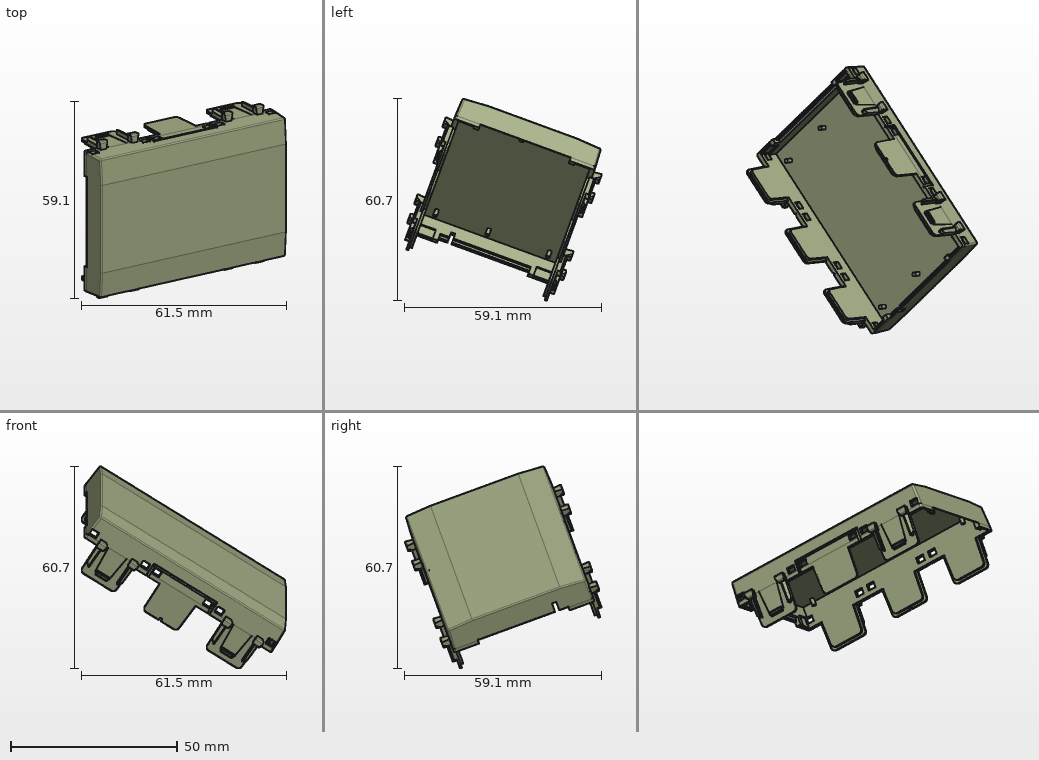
import cadquery as cq
import math


TILT_ABOUT_Y = 33.25
TILT_ABOUT_X = 20.1

LENGTH = 67.3
WIDTH = 44.95
WALL = 1.5
DRAFT = 2.7
SKIRT_TOP = -6.9
SKIRT_BOTTOM = -8.2
CEILING = -1.25
ROOF_FLAT_WIDTH = 28.1
ROOF_RISE = 0.7
CORNER_RADIUS = 0.6
ROOF_EDGE_RADIUS = 0.45

TAB_LENGTH = 8.0
TAB_POCKET_LENGTH = 6.35
TAB_POCKET_TOP = -4.8
TAB_POCKET_DEPTH = 0.55
REBATE_TOP = -5.6
REBATE_DEPTH = 0.85
TOE_BEVEL = 0.4
NOTCH_WIDTH = 1.3
NOTCH_Y = 10.9
NOTCH_TOP = -3.75

PEG_DIAMETER = 1.25
PEG_LENGTH = 2.15
PEG_X = 27.4
PEG_YS = (-18.2, 1.2, 17.85)

WINDOW_WIDTH = 2.45
WINDOW_HEIGHT = 1.9
WINDOW_TOP = -4.7
WINDOW_XS = (9.08, 13.395, 31.745)
GROOVE_LENGTH = 22.7
GROOVE_TOP = -3.8
GROOVE_DEPTH = 0.55
GROOVE_WIDTH = 0.8

CLIP_X = 22.5
LEG_TOP_WIDTH = 12.95
LEG_BOTTOM_WIDTH = 12.3
LEG_BOTTOM = -18.05
LEG_THICKNESS = 0.7
LEG_BACKING_THICKNESS = 0.8
LEG_BACKING_INSET = 0.75
LEG_RADIUS = 1.25
LEG_NOTCH_WIDTH = 0.75
LEG_NOTCH_HEIGHT = 0.8

RAMP_TOP_WIDTH = 6.5
RAMP_BOTTOM_WIDTH = 4.9
RAMP_BOTTOM = -15.4
RAMP_RISE = 0.2
STOP_WIDTH = 4.05
STOP_TOP = -14.7
STOP_BOTTOM = -16.15
STOP_BEVEL = 0.4
STOP_RISE = 0.8
RIB_INNER = 5.0
RIB_OUTER = 6.5
RIB_TIP_THICKNESS = 0.3
RIB_RISE = 1.35
RIB_OUTER_RISE = 0.7
RIB_BOTTOM = -14.95
HEAD_X = 5.6
HEAD_INNER_WIDTH = 2.0
HEAD_OUTER_WIDTH = 2.85
HEAD_REACH = 2.5
HEAD_TOP = -6.0
HEAD_BOTTOM = -8.2
HEAD_RADIUS = 0.45
HEAD_BOTTOM_WIDTH = 2.2

FACE_Y = WIDTH / 2
OVERCUT = 0.6
INNER_LENGTH = LENGTH - 2 * WALL
INNER_WIDTH = WIDTH - 2 * WALL


def block(x_range, y_range, z_range):
    """Box between the given limits."""
    lows = [r[0] for r in (x_range, y_range, z_range)]
    sizes = [r[1] - r[0] for r in (x_range, y_range, z_range)]
    return cq.Workplane("XY").box(*sizes, centered=False).translate(tuple(lows))


def front_prism(points, outer_y, inner_y):
    """Outline in X and Z, extruded between two depths of the front side."""
    plane = cq.Workplane("XZ", origin=(0, inner_y, 0))
    return plane.polyline(points).close().extrude(inner_y - outer_y)


def trapezoid(x, top_width, bottom_width, top, bottom):
    """Corners of a symmetric trapezoid in X and Z."""
    return [
        (x - top_width / 2, top),
        (x + top_width / 2, top),
        (x + bottom_width / 2, bottom),
        (x - bottom_width / 2, bottom),
    ]


def make_shell():
    """Drafted outer body with a three-facet roof, hollowed from below."""
    draft_height = ROOF_RISE - SKIRT_TOP
    drafted = cq.Workplane("XY", origin=(0, 0, SKIRT_TOP)).rect(LENGTH, WIDTH)
    drafted = drafted.extrude(draft_height, taper=DRAFT)
    ridge_y = ROOF_FLAT_WIDTH / 2
    roof = (
        cq.Workplane("YZ", origin=(-LENGTH / 2, 0, 0))
        .moveTo(-FACE_Y, SKIRT_TOP)
        .lineTo(-FACE_Y, 0)
        .lineTo(-ridge_y, ROOF_RISE)
        .lineTo(ridge_y, ROOF_RISE)
        .lineTo(FACE_Y, 0)
        .lineTo(FACE_Y, SKIRT_TOP)
        .close()
        .extrude(LENGTH)
    )
    body = drafted.intersect(roof)
    corners = cq.selectors.BoxSelector((-LENGTH, -WIDTH, SKIRT_TOP + 0.6), (LENGTH, WIDTH, -0.6))
    body = body.edges(corners).fillet(CORNER_RADIUS)
    top_edges = cq.selectors.BoxSelector((-LENGTH, -WIDTH, -0.6), (LENGTH, WIDTH, ROOF_RISE + 0.6))
    ridges = cq.selectors.BoxSelector((-0.6, -ridge_y - 0.6, 0), (0.6, ridge_y + 0.6, ROOF_RISE + 0.6))
    body = body.edges(top_edges - ridges).fillet(ROOF_EDGE_RADIUS)
    skirt = cq.Workplane("XY", origin=(0, 0, SKIRT_BOTTOM)).rect(LENGTH, WIDTH)
    skirt = skirt.extrude(SKIRT_TOP - SKIRT_BOTTOM).edges("|Z").fillet(CORNER_RADIUS)
    cavity = block(
        (-INNER_LENGTH / 2, INNER_LENGTH / 2),
        (-INNER_WIDTH / 2, INNER_WIDTH / 2),
        (SKIRT_BOTTOM, CEILING),
    )
    return body.union(skirt).cut(cavity)


def cut_end_wall(body, side):
    """Trim one end wall (side -1 or 1) to corner tabs and thin its lower inner face."""
    outer_x = LENGTH / 2
    inner_x = INNER_LENGTH / 2
    tab_y = FACE_Y - TAB_LENGTH

    def wall_prism(points, y_range):
        plane = cq.Workplane("XZ", origin=(0, y_range[1], 0))
        outline = [(side * x, z) for x, z in points]
        return plane.polyline(outline).close().extrude(y_range[1] - y_range[0])

    def recess(depth, top, bottom, y_range):
        face_x = inner_x + depth
        return wall_prism(
            [
                (inner_x - OVERCUT, top),
                (face_x, top),
                (face_x, bottom + TOE_BEVEL),
                (face_x + TOE_BEVEL, bottom),
                (inner_x - OVERCUT, bottom),
            ],
            y_range,
        )

    x_range = sorted((side * (inner_x - OVERCUT), side * (outer_x + OVERCUT)))
    body = body.cut(block(x_range, (-tab_y, tab_y), (SKIRT_BOTTOM, SKIRT_TOP)))
    body = body.cut(recess(REBATE_DEPTH, REBATE_TOP, SKIRT_TOP, (-tab_y, tab_y)))
    pocket_range = (-INNER_WIDTH / 2, TAB_POCKET_LENGTH - FACE_Y)
    pocket = recess(TAB_POCKET_DEPTH, TAB_POCKET_TOP, SKIRT_BOTTOM, pocket_range)
    return body.cut(pocket).cut(pocket.mirror("XZ"))


def cut_long_wall(body):
    """Windows and the groove that frames the centre pad, in the front long wall."""
    wall_inner = -INNER_WIDTH / 2
    groove_floor = GROOVE_DEPTH - FACE_Y
    groove = block(
        (-GROOVE_LENGTH / 2, GROOVE_LENGTH / 2), (-FACE_Y, groove_floor), (SKIRT_BOTTOM, GROOVE_TOP)
    )
    pad_height = 2 * (GROOVE_TOP - SKIRT_BOTTOM)
    pad = (
        cq.Workplane("XZ", origin=(0, groove_floor, 0))
        .center(0, GROOVE_TOP - pad_height / 2)
        .rect(GROOVE_LENGTH, pad_height)
        .extrude(GROOVE_DEPTH, taper=math.degrees(math.atan2(GROOVE_WIDTH, GROOVE_DEPTH)))
    )
    body = body.cut(groove.cut(pad))
    for x in WINDOW_XS:
        for side in (-1, 1):
            left = side * x - WINDOW_WIDTH / 2
            window = block(
                (left, left + WINDOW_WIDTH),
                (-FACE_Y, wall_inner),
                (WINDOW_TOP - WINDOW_HEIGHT, WINDOW_TOP),
            )
            body = body.cut(window)
    return body


def leg_outline(x, inset):
    """Corners of a tapered leg, moved inwards by the inset."""
    return trapezoid(
        x,
        LEG_TOP_WIDTH - 2 * inset,
        LEG_BOTTOM_WIDTH - 2 * inset,
        SKIRT_BOTTOM,
        LEG_BOTTOM + inset,
    )


def leg_layer(x, inset, outer_y, inner_y):
    """Flat tapered plate with rounded lower corners."""
    layer = front_prism(leg_outline(x, inset), outer_y, inner_y)
    return layer.faces("<Z").edges("|Y").fillet(LEG_RADIUS)


def make_leg(x):
    """Thin flat leg stiffened by a smaller plate on its inner face."""
    middle_y = LEG_THICKNESS - FACE_Y
    leg = leg_layer(x, 0, -FACE_Y, middle_y)
    return leg.union(leg_layer(x, LEG_BACKING_INSET, middle_y, middle_y + LEG_BACKING_THICKNESS))


def make_ramp(x):
    """Shallow wedge on the leg, rising downwards."""
    outline = trapezoid(x, RAMP_TOP_WIDTH, RAMP_BOTTOM_WIDTH, SKIRT_TOP, RAMP_BOTTOM)
    plate = front_prism(outline, -FACE_Y - RAMP_RISE, -FACE_Y)
    wedge = (
        cq.Workplane("YZ", origin=(x - RAMP_TOP_WIDTH / 2, 0, 0))
        .moveTo(-FACE_Y, SKIRT_TOP)
        .lineTo(-FACE_Y - RAMP_RISE, RAMP_BOTTOM)
        .lineTo(-FACE_Y, RAMP_BOTTOM)
        .close()
        .extrude(RAMP_TOP_WIDTH)
    )
    return plate.intersect(wedge)


def make_rib(x, side):
    """Rib along one edge (side -1 or 1) of a clip leg, highest towards the middle of the leg."""
    tip_outer = RIB_INNER + RIB_TIP_THICKNESS
    profile = [
        (RIB_INNER, 0),
        (RIB_INNER, RIB_RISE),
        (tip_outer, RIB_RISE),
        (RIB_OUTER, RIB_OUTER_RISE),
        (RIB_OUTER, 0),
    ]
    points = [(x + side * offset, -FACE_Y - rise) for offset, rise in profile]
    rib = cq.Workplane("XY", origin=(0, 0, RIB_BOTTOM)).polyline(points).close()
    rib = rib.extrude(HEAD_BOTTOM - RIB_BOTTOM)
    end_cut = [
        (x + side * tip_outer, RIB_BOTTOM),
        (x + side * RIB_OUTER, RIB_BOTTOM),
        (x + side * RIB_OUTER, RIB_BOTTOM + RIB_OUTER - tip_outer),
    ]
    rib = rib.cut(front_prism(end_cut, -FACE_Y - RIB_RISE, -FACE_Y))
    return rib.intersect(front_prism(leg_outline(x, 0), -FACE_Y - RIB_RISE, -FACE_Y))


def make_head(x):
    """Hook head that widens outwards, narrows downwards and has a rounded outer end."""
    height = HEAD_TOP - HEAD_BOTTOM
    mid_z = (HEAD_TOP + HEAD_BOTTOM) / 2
    section = [
        (-HEAD_OUTER_WIDTH / 2, HEAD_TOP),
        (HEAD_OUTER_WIDTH / 2, HEAD_TOP),
        (HEAD_OUTER_WIDTH / 2, mid_z),
        (HEAD_BOTTOM_WIDTH / 2, HEAD_BOTTOM),
        (-HEAD_BOTTOM_WIDTH / 2, HEAD_BOTTOM),
        (-HEAD_OUTER_WIDTH / 2, mid_z),
    ]
    bar = front_prism(section, -FACE_Y - HEAD_REACH, -FACE_Y).translate((x, 0, 0))
    bar = bar.faces("<Y").edges("<Z or >Z").fillet(HEAD_RADIUS)
    plan = (
        cq.Workplane("XY", origin=(x, 0, HEAD_BOTTOM))
        .moveTo(-HEAD_INNER_WIDTH / 2, -FACE_Y)
        .lineTo(-HEAD_OUTER_WIDTH / 2, -FACE_Y - HEAD_REACH)
        .lineTo(HEAD_OUTER_WIDTH / 2, -FACE_Y - HEAD_REACH)
        .lineTo(HEAD_INNER_WIDTH / 2, -FACE_Y)
        .close()
        .extrude(height)
    )
    return bar.intersect(plan)


def make_long_side():
    """Everything that hangs from the front long wall."""
    side = make_leg(0)
    for x in (-CLIP_X, CLIP_X):
        stop = block(
            (x - STOP_WIDTH / 2, x + STOP_WIDTH / 2),
            (-FACE_Y - STOP_RISE, -FACE_Y),
            (STOP_BOTTOM, STOP_TOP),
        )
        stop = stop.faces("<Y").edges("|X").chamfer(STOP_BEVEL)
        side = side.union(make_leg(x)).union(make_ramp(x)).union(stop)
        for edge in (-1, 1):
            side = side.union(make_rib(x, edge)).union(make_head(x + edge * HEAD_X))
    return side


cover = make_shell()
for end in (-1, 1):
    cover = cut_end_wall(cover, end)
cover = cut_long_wall(cover)
cover = cut_long_wall(cover.mirror("XZ")).mirror("XZ")

notch = block(
    (INNER_LENGTH / 2 - OVERCUT, LENGTH / 2),
    (NOTCH_Y - NOTCH_WIDTH / 2, NOTCH_Y + NOTCH_WIDTH / 2),
    (SKIRT_BOTTOM, NOTCH_TOP),
)
cover = cover.cut(notch)

long_side = make_long_side()
cover = cover.union(long_side).union(long_side.mirror("XZ"))

leg_notch = block(
    (-LEG_NOTCH_WIDTH / 2, LEG_NOTCH_WIDTH / 2),
    (-FACE_Y, LEG_THICKNESS - FACE_Y),
    (LEG_BOTTOM, LEG_BOTTOM + LEG_NOTCH_HEIGHT),
)
cover = cover.cut(leg_notch)

peg_points = [(x, y) for x in (-PEG_X, PEG_X) for y in PEG_YS]
pegs = (
    cq.Workplane("XY", origin=(0, 0, CEILING))
    .pushPoints(peg_points)
    .circle(PEG_DIAMETER / 2)
    .extrude(-PEG_LENGTH)
)
cover = cover.union(pegs)

result = cover.rotate((0, 0, 0), (0, 1, 0), TILT_ABOUT_Y).rotate((0, 0, 0), (1, 0, 0), TILT_ABOUT_X)